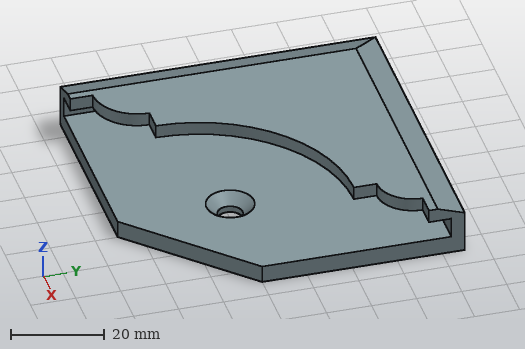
import cadquery as cq
import math

side = 70.0
height = 11.6

floor_thickness = 4.0
lip_thickness = 3.0
wall_thickness = 3.0
lip_underside = height - lip_thickness

slope_width = 6.0
slope_drop = 2.0

corner_cut = 25.0

hole_x = side - corner_cut
hole_y = corner_cut
hole_diameter = 5.5
sink_diameter = 10.5
sink_angle = 90.0

lip_end_width = 8.0
front_step = 5.0
front_round_radius = 9.8
front_ledge = 5.1
cove_radius = 34.2
back_ledge = 5.05
back_round_radius = 8.0


def quarter_arc_middle(center_x, center_y, radius, degrees):
    angle = math.radians(degrees)
    return (center_x + radius * math.cos(angle), center_y + radius * math.sin(angle))


def make_floor():
    return (
        cq.Workplane("XY")
        .moveTo(0, 0)
        .lineTo(side - corner_cut, 0)
        .lineTo(side, corner_cut)
        .lineTo(side, side)
        .lineTo(0, side)
        .close()
        .extrude(floor_thickness)
    )


def make_walls():
    block = cq.Workplane("XY").box(side, side, lip_underside, centered=False)
    inside = cq.Workplane("XY").box(side, side, height, centered=False)
    return block.cut(inside.translate((wall_thickness, -wall_thickness, 0)))


def make_lip():
    front_round_x = lip_end_width
    front_round_y = front_step + front_round_radius
    cove_x = front_round_x + front_round_radius + front_ledge + cove_radius
    cove_y = front_round_y
    back_round_x = cove_x
    back_round_y = side - lip_end_width
    back_ledge_y = cove_y + cove_radius + back_ledge
    return (
        cq.Workplane("XY", origin=(0, 0, lip_underside))
        .moveTo(0, 0)
        .lineTo(lip_end_width, 0)
        .lineTo(lip_end_width, front_step)
        .threePointArc(
            quarter_arc_middle(front_round_x, front_round_y, front_round_radius, -45),
            (front_round_x + front_round_radius, front_round_y),
        )
        .lineTo(cove_x - cove_radius, cove_y)
        .threePointArc(
            quarter_arc_middle(cove_x, cove_y, cove_radius, 135),
            (cove_x, cove_y + cove_radius),
        )
        .lineTo(back_round_x, back_ledge_y)
        .threePointArc(
            quarter_arc_middle(back_round_x, back_round_y, back_round_radius, -45),
            (back_round_x + back_round_radius, back_round_y),
        )
        .lineTo(side, back_round_y)
        .lineTo(side, side)
        .lineTo(0, side)
        .close()
        .extrude(lip_thickness)
    )


def make_slope_cutters():
    left = (
        cq.Workplane("XZ")
        .polyline([(0, height - slope_drop), (slope_width, height), (0, height)])
        .close()
        .extrude(-side)
    )
    back = (
        cq.Workplane("YZ")
        .polyline([(side, height - slope_drop), (side - slope_width, height), (side, height)])
        .close()
        .extrude(side)
    )
    return left.union(back)


result = make_floor().union(make_walls()).union(make_lip()).cut(make_slope_cutters())
result = (
    result.copyWorkplane(cq.Workplane("XY", origin=(hole_x, hole_y, floor_thickness)))
    .cskHole(hole_diameter, sink_diameter, sink_angle)
)